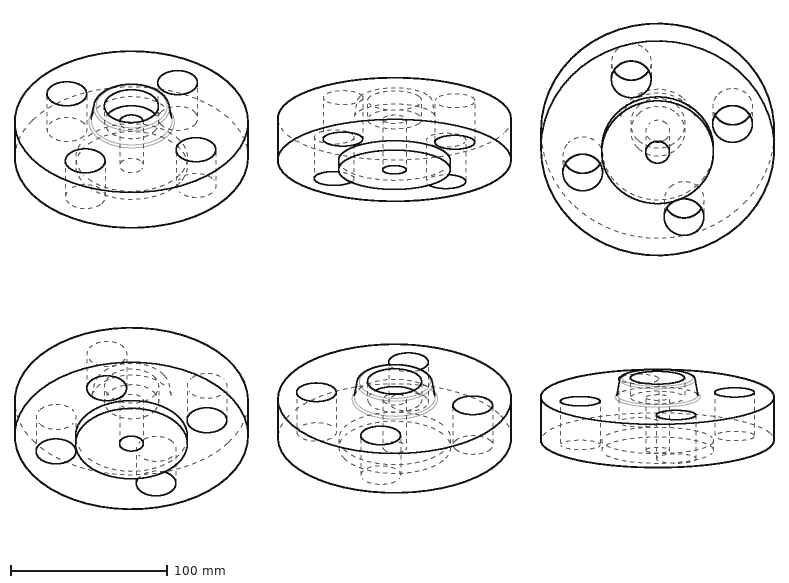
import cadquery as cq

flange_diameter = 149.3
flange_thickness = 28.5

face_diameter = 71.5
face_height = 6.4

overall_height = 47.5
hub_base_diameter = 52.1
hub_top_diameter = 48.0
hub_edge_radius = 1.5

bore_diameter = 15.2
socket_diameter = 34.6
socket_depth = 12.8

bolt_hole_count = 4
bolt_hole_diameter = 25.4
bolt_circle_diameter = 101.5

flange_bottom = face_height
flange_top = flange_bottom + flange_thickness
socket_floor = overall_height - socket_depth


def cylinder(diameter, bottom, top):
    """Solid cylinder on the Z axis between two heights."""
    return cq.Workplane("XY").workplane(offset=bottom).circle(diameter / 2).extrude(top - bottom)


def flange_with_hub():
    """Disc and tapered hub, with the hub's foot and top rim rounded."""
    profile = (
        cq.Workplane("XZ")
        .moveTo(0, flange_bottom)
        .lineTo(flange_diameter / 2, flange_bottom)
        .lineTo(flange_diameter / 2, flange_top)
        .lineTo(hub_base_diameter / 2, flange_top)
        .lineTo(hub_top_diameter / 2, overall_height)
        .lineTo(0, overall_height)
        .close()
    )
    body = profile.revolve(360, (0, 0), (0, 1))
    hub_foot = cq.selectors.RadiusNthSelector(1)
    hub_rim = cq.selectors.RadiusNthSelector(0)
    return body.edges("%CIRCLE").edges(hub_foot + hub_rim).fillet(hub_edge_radius)


def bolt_holes():
    """Through holes spaced evenly on the bolt circle."""
    return (
        cq.Workplane("XY")
        .workplane(offset=flange_bottom)
        .polarArray(bolt_circle_diameter / 2, 0, 360, bolt_hole_count)
        .circle(bolt_hole_diameter / 2)
        .extrude(flange_thickness)
    )


raised_face = cylinder(face_diameter, 0, flange_bottom)
bore = cylinder(bore_diameter, 0, overall_height)
socket = cylinder(socket_diameter, socket_floor, overall_height)

result = flange_with_hub().union(raised_face).cut(bolt_holes()).cut(bore).cut(socket)